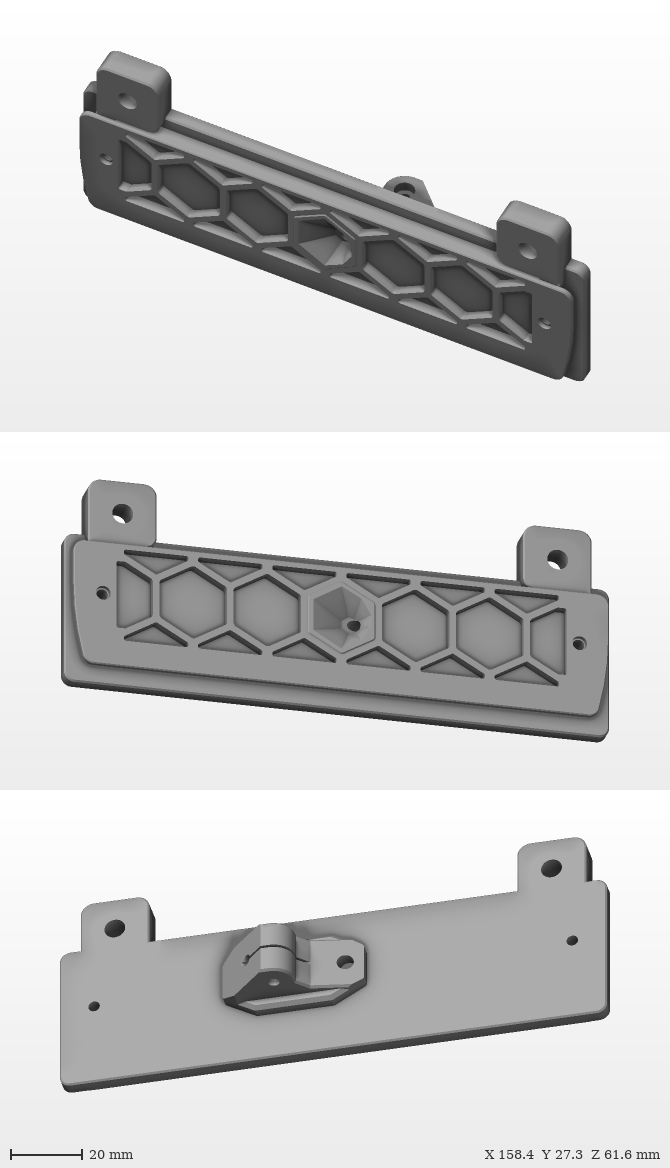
import cadquery as cq
import math

BASE_THICKNESS = 4.5
TAB_THICKNESS = 8.2
COVER_THICKNESS = 1.5
MOUNT_PROUD = 0.3
BASE_FRONT = -BASE_THICKNESS
COVER_BACK = -TAB_THICKNESS
COVER_FRONT = COVER_BACK - COVER_THICKNESS
MOUNT_FRONT = COVER_FRONT - MOUNT_PROUD
EDGE_CHAMFER = 0.5
FINE_CHAMFER = 0.3

BASE_LENGTH = 158.4
BASE_TOP = 20.0
BASE_BOTTOM = -25.8
BASE_CORNER_RADIUS = 3.0
TAB_SIZE = 20.0
TAB_CENTER_X = 63.2
TAB_BOTTOM = 15.8
TAB_CORNER_RADIUS = 3.8
TAB_HOLE_DIAMETER = 6.0
TAB_OUTER_X = TAB_CENTER_X + TAB_SIZE / 2
TAB_CENTER_Z = TAB_BOTTOM + TAB_SIZE / 2
RAIL_WIDTH = 6.2
RAIL_BOTTOM = -15.5
RAIL_CORNER_RADIUS = 1.9
RAIL_INNER_X = TAB_OUTER_X - RAIL_WIDTH
SCREW_X = 69.2
BASE_SCREW_DIAMETER = 3.3
COVER_SCREW_DIAMETER = 4.3

COVER_HALF_LENGTH = 77.8
COVER_TOP = TAB_BOTTOM
COVER_BOTTOM = -22.0
COVER_TOP_RADIUS = 3.5
COVER_BOTTOM_RADIUS = 3.2
SIDE_CURVE_START_Z = 2.7
SIDE_CURVE_RADIUS = 90.3

HEX_ANGLE = math.radians(30)
CELL_PITCH = 21.5
CELL_WIDTH = 19.6
RIB_WIDTH = CELL_PITCH - CELL_WIDTH
CELL_CORNER_RADIUS = 1.3
POCKET_DEPTH = 3.2
POCKET_FLOOR = COVER_FRONT + POCKET_DEPTH
BLIND_CELLS = (-2, -1, 1, 2)
GAP_OFFSETS = (-2.5, -1.5, -0.5, 0.5, 1.5, 2.5)
END_CELL_CENTER_X = 3 * CELL_PITCH
END_CELL_OUTER_X = 65.4
END_CELL_HALF_HEIGHT = 10.3
POCKET_CORNER_RADIUS = 0.6
GAP_HALF_WIDTH = 9.3
GAP_OUTER_Z = 14.1

FLANGE_THICKNESS = 3.8
FLANGE_HALF_HEIGHT = 11.1
FLANGE_CHAMFER = 1.1
EAR_HALF_HEIGHT = 8.2
EAR_TIP_Y = 17.3
EAR_ARC_RADIUS = 6.2
EAR_FLAT_END_X = 17.0
EAR_FACE_END_X = EAR_FLAT_END_X + EAR_TIP_Y
EAR_EDGE_CHAMFER = 0.6
EAR_SLOPE_LOW_Y = 3.6
EAR_KNEE_Y = 6.3
EAR_FLANK_TOP_Y = 9.7
CLAMP_HOLE = (14.5, EAR_TIP_Y - EAR_ARC_RADIUS)
CLAMP_HOLE_DIAMETER = 3.3
EAR_LEFT_X = CLAMP_HOLE[0] - EAR_ARC_RADIUS
EAR_KNEE = (EAR_LEFT_X - (EAR_FLANK_TOP_Y - EAR_KNEE_Y), EAR_KNEE_Y)
CLAMP_HEAD_DIAMETER = 6.0
CLAMP_HEAD_DEPTH = 3.2
SLIT_WIDTH = 0.8
SLIT_RIGHT_Y = 10.1
SLOPE_HOLE_DIAMETER = 4.8
SLOPE_HOLE_X = -4.6
SLOPE_HOLE_FLOOR_Y = 0.6
FUNNEL_MOUTH = [(-8.2, -4.8), (0, -9.7), (5.7, -6.5), (8.5, -1.7)]
FUNNEL_BOTTOM = [(1.1, -1.1), (3.2, -2.5), (4.9, -2.0), (5.7, -1.3)]
FUNNEL_DEPTH = 4.8
BORE_START_X = 0.3
BORE_DIAMETER = 3.3


def slab(y_front, y_back):
    """Sketch plane in X and Z at y_back, with the extrusion length toward the front."""
    return cq.Workplane("XZ", origin=(0, y_back, 0)), y_back - y_front


def block(x_range, z_range, y_front, y_back):
    plane, depth = slab(y_front, y_back)
    x0, x1 = x_range
    z0, z1 = z_range
    return plane.center((x0 + x1) / 2, (z0 + z1) / 2).rect(x1 - x0, z1 - z0).extrude(depth)


def cylinder(x, z, diameter, y_front, y_back):
    plane, depth = slab(y_front, y_back)
    return plane.center(x, z).circle(diameter / 2).extrude(depth)


def both_sides(solid):
    """The solid together with its copy mirrored to the other end."""
    return solid.union(solid.mirror("YZ"))


def mirrored_outline(lower_points):
    """Closed outline from its lower points, mirrored about the X axis."""
    upper_points = [(x, -z) for x, z in reversed(lower_points)]
    return lower_points + upper_points


def hexagon(center_x, y_front, y_back):
    """Hexagonal prism with a point up and rounded corners."""
    plane, depth = slab(y_front, y_back)
    corner_diameter = CELL_WIDTH / math.cos(HEX_ANGLE)
    prism = plane.transformed(rotate=(0, 0, 90)).polygon(6, corner_diameter).extrude(depth)
    return prism.edges("|Y").fillet(CELL_CORNER_RADIUS).translate((center_x, 0, 0))


def tab():
    """Square tab, rounded except at its lower outer corner, where the rail joins it."""
    x_range = (TAB_OUTER_X - TAB_SIZE, TAB_OUTER_X)
    z_range = (TAB_BOTTOM, TAB_BOTTOM + TAB_SIZE)
    plate = block(x_range, z_range, COVER_BACK, 0)
    plate = plate.edges("|Y and (>Z or <X)").fillet(TAB_CORNER_RADIUS)
    return plate.faces("<Y").chamfer(EDGE_CHAMFER)


def rail():
    """Strip below the outer part of a tab, which takes the cover screw."""
    top = TAB_BOTTOM + EDGE_CHAMFER
    strip = block((RAIL_INNER_X, TAB_OUTER_X), (RAIL_BOTTOM, top), COVER_BACK, BASE_FRONT)
    return strip.edges("|Y and >X and <Z").fillet(RAIL_CORNER_RADIUS)


def make_base():
    half = BASE_LENGTH / 2
    base = block((-half, half), (BASE_BOTTOM, BASE_TOP), BASE_FRONT, 0)
    base = base.edges("|Y").fillet(BASE_CORNER_RADIUS).faces("<Y").chamfer(EDGE_CHAMFER)
    base = base.union(both_sides(tab())).faces(">Y").chamfer(EDGE_CHAMFER)
    base = base.union(both_sides(rail()))
    tab_hole = cylinder(TAB_CENTER_X, TAB_CENTER_Z, TAB_HOLE_DIAMETER, COVER_BACK, 0)
    screw_hole = cylinder(SCREW_X, 0, BASE_SCREW_DIAMETER, COVER_BACK, 0)
    base = base.cut(both_sides(tab_hole)).cut(both_sides(screw_hole))
    return base.cut(hexagon(0, BASE_FRONT, 0))


def side_curve_x(z):
    drop = SIDE_CURVE_START_Z - z
    return COVER_HALF_LENGTH - SIDE_CURVE_RADIUS + math.sqrt(SIDE_CURVE_RADIUS**2 - drop**2)


def cover_plate():
    """Plate whose sides curve inward below the middle."""
    middle_z = (SIDE_CURVE_START_Z + COVER_BOTTOM) / 2
    start = (COVER_HALF_LENGTH, SIDE_CURVE_START_Z)
    middle = (side_curve_x(middle_z), middle_z)
    end = (side_curve_x(COVER_BOTTOM), COVER_BOTTOM)
    plane, depth = slab(COVER_FRONT, COVER_BACK)
    plate = (
        plane.moveTo(0, COVER_TOP)
        .lineTo(COVER_HALF_LENGTH, COVER_TOP)
        .lineTo(*start)
        .threePointArc(middle, end)
        .lineTo(0, COVER_BOTTOM)
        .mirrorY()
        .extrude(depth)
    )
    plate = plate.edges("|Y and >Z").fillet(COVER_TOP_RADIUS)
    plate = plate.edges("|Y and <Z").fillet(COVER_BOTTOM_RADIUS)
    return plate.faces("<Y").chamfer(FINE_CHAMFER)


def end_cell():
    """Half cell cut off square at the end of the honeycomb."""
    window = block(
        (END_CELL_CENTER_X - CELL_WIDTH, END_CELL_OUTER_X),
        (-END_CELL_HALF_HEIGHT, END_CELL_HALF_HEIGHT),
        COVER_FRONT,
        POCKET_FLOOR,
    )
    cell = hexagon(END_CELL_CENTER_X, COVER_FRONT, POCKET_FLOOR).intersect(window)
    return cell.edges("|Y and >X").fillet(POCKET_CORNER_RADIUS)


def gap_pocket(center_x):
    """Pocket between the upper flanks of two neighbouring cells and a straight top edge."""
    slope = math.tan(HEX_ANGLE)
    apex_z = (CELL_WIDTH / 2 + RIB_WIDTH) / math.cos(HEX_ANGLE) - CELL_PITCH / 2 * slope
    side_z = apex_z + GAP_HALF_WIDTH * slope
    plane, depth = slab(COVER_FRONT, POCKET_FLOOR)
    pocket = plane.polyline(
        [
            (0, apex_z),
            (GAP_HALF_WIDTH, side_z),
            (GAP_HALF_WIDTH, GAP_OUTER_Z),
            (-GAP_HALF_WIDTH, GAP_OUTER_Z),
            (-GAP_HALF_WIDTH, side_z),
        ]
    ).close().extrude(depth)
    return pocket.edges("|Y").fillet(POCKET_CORNER_RADIUS).translate((center_x, 0, 0))


def make_cover():
    core = block((-RAIL_INNER_X, RAIL_INNER_X), (RAIL_BOTTOM, COVER_TOP), COVER_BACK, BASE_FRONT)
    cover = cover_plate().union(core)
    for index in BLIND_CELLS:
        cover = cover.cut(hexagon(index * CELL_PITCH, COVER_FRONT, POCKET_FLOOR))
    cover = cover.cut(hexagon(0, COVER_FRONT, BASE_FRONT))
    cover = cover.cut(both_sides(end_cell()))
    for offset in GAP_OFFSETS:
        pocket = gap_pocket(offset * CELL_PITCH)
        cover = cover.cut(pocket).cut(pocket.mirror("XY"))
    screw_hole = cylinder(SCREW_X, 0, COVER_SCREW_DIAMETER, COVER_FRONT, BASE_FRONT)
    return cover.cut(both_sides(screw_hole))


def two_cell_prism(height):
    """Prism behind the base plate that spans the middle cell and the next one."""
    left_x = -CELL_WIDTH / 2
    right_x = CELL_PITCH + CELL_WIDTH / 2
    corner_z = CELL_WIDTH / 2 * math.tan(HEX_ANGLE)
    flank_run = (FLANGE_HALF_HEIGHT - corner_z) / math.tan(HEX_ANGLE)
    outline = mirrored_outline(
        [
            (left_x, -corner_z),
            (left_x + flank_run, -FLANGE_HALF_HEIGHT),
            (right_x - flank_run, -FLANGE_HALF_HEIGHT),
            (right_x, -corner_z),
        ]
    )
    plane, depth = slab(0, height)
    return plane.polyline(outline).close().extrude(depth).edges("|Y").fillet(CELL_CORNER_RADIUS)


def ear_profile(half_height):
    """Side shape of the mount: gentle slope, steep flank, round tip and 45 degree face."""
    center_x, center_y = CLAMP_HOLE
    arc_offset = EAR_ARC_RADIUS / math.sqrt(2)
    base_x = -CELL_WIDTH / 2
    return (
        cq.Workplane("XY", origin=(0, 0, -half_height))
        .moveTo(base_x, 0)
        .lineTo(base_x, EAR_SLOPE_LOW_Y)
        .lineTo(*EAR_KNEE)
        .lineTo(EAR_LEFT_X, EAR_FLANK_TOP_Y)
        .lineTo(EAR_LEFT_X, center_y)
        .threePointArc((center_x - arc_offset, center_y + arc_offset), (center_x, EAR_TIP_Y))
        .lineTo(EAR_FLAT_END_X, EAR_TIP_Y)
        .lineTo(EAR_FACE_END_X, 0)
        .close()
        .extrude(2 * half_height)
    )


def chamfered_ears():
    """Ear block with its outer edges chamfered from the gentle slope to the round tip."""
    ears = ear_profile(EAR_HALF_HEIGHT)
    low = (-CELL_WIDTH, EAR_SLOPE_LOW_Y - EAR_EDGE_CHAMFER, -2 * EAR_HALF_HEIGHT)
    high = (CLAMP_HOLE[0], 2 * EAR_TIP_Y, 2 * EAR_HALF_HEIGHT)
    outer_edges = ears.edges("#Z").edges(cq.selectors.BoxSelector(low, high))
    return outer_edges.chamfer(EAR_EDGE_CHAMFER).intersect(two_cell_prism(EAR_TIP_Y))


def clamp_hole():
    """Cross hole through both ears with a screw head recess in the upper one."""
    hole = cq.Workplane("XY", origin=(*CLAMP_HOLE, -EAR_HALF_HEIGHT))
    hole = hole.circle(CLAMP_HOLE_DIAMETER / 2).extrude(2 * EAR_HALF_HEIGHT)
    head = cq.Workplane("XY", origin=(*CLAMP_HOLE, EAR_HALF_HEIGHT))
    return hole.union(head.circle(CLAMP_HEAD_DIAMETER / 2).extrude(-CLAMP_HEAD_DEPTH))


def slit():
    """Gap between the two ears, with a slanted floor."""
    outline = [
        EAR_KNEE,
        (EAR_FACE_END_X - SLIT_RIGHT_Y, SLIT_RIGHT_Y),
        (EAR_FACE_END_X, EAR_TIP_Y),
        (0, EAR_TIP_Y),
    ]
    plane = cq.Workplane("XY", origin=(0, 0, -SLIT_WIDTH / 2))
    return plane.polyline(outline).close().extrude(SLIT_WIDTH)


def funnel():
    """Faceted funnel in the front face that narrows toward the bore, steeper on its right side."""
    mouth = mirrored_outline(FUNNEL_MOUTH)
    bottom = mirrored_outline(FUNNEL_BOTTOM)
    return (
        cq.Workplane("XZ", origin=(0, MOUNT_FRONT, 0))
        .polyline(mouth)
        .close()
        .workplane(offset=-FUNNEL_DEPTH)
        .polyline(bottom)
        .close()
        .loft(ruled=True)
    )


def bore():
    """Slanted bore from the bottom of the funnel to the 45 degree face, square to that face."""
    start = cq.Vector(BORE_START_X, MOUNT_FRONT, 0)
    return cq.Workplane(
        cq.Solid.makeCylinder(BORE_DIAMETER / 2, 2 * CELL_PITCH, start, cq.Vector(1, 1, 0))
    )


def make_mount():
    plug = hexagon(0, MOUNT_FRONT, 0).faces("<Y").chamfer(FINE_CHAMFER)
    flange = two_cell_prism(FLANGE_THICKNESS).faces(">Y").chamfer(FLANGE_CHAMFER)
    flange = flange.intersect(ear_profile(CELL_WIDTH))
    mount = plug.union(flange).union(chamfered_ears())
    mount = mount.cut(clamp_hole()).cut(slit())
    slope_hole = cylinder(SLOPE_HOLE_X, 0, SLOPE_HOLE_DIAMETER, SLOPE_HOLE_FLOOR_Y, EAR_KNEE_Y)
    return mount.cut(slope_hole).cut(funnel()).cut(bore())


base = make_base()
cover = make_cover()
mount = make_mount()
bodies = [body.solids().val() for body in (base, cover, mount)]
result = cq.Compound.makeCompound(bodies)